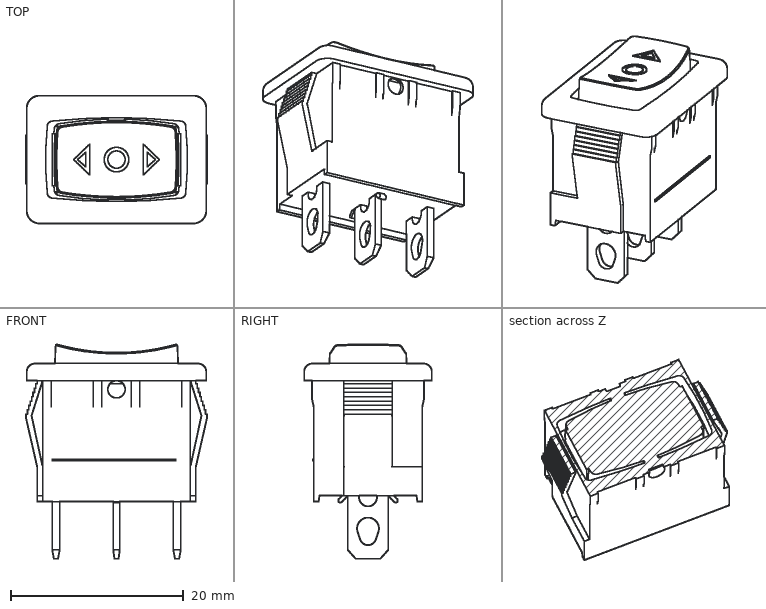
import cadquery as cq
import math


LENGTH_TOLERANCE = 0.001

FLANGE_LENGTH = 20.8
FLANGE_WIDTH = 14.8
FLANGE_HEIGHT = 2.0
FLANGE_CORNER_RADIUS = 1.5
FLANGE_EDGE_RADIUS = 1.0

OPENING_CORNER = (7.95, 4.4)
OPENING_MIDDLE = (8.2, 4.84)
OPENING_CORNER_RADIUS = 0.6
OPENING_FLOOR = -3.0

BODY_LENGTH = 17.06
BODY_WIDTH = 12.6
BODY_BOTTOM = -13.3
FOOT_BOTTOM = -14.0
FOOT_TOP_WIDTH = 0.7
FOOT_BOTTOM_WIDTH = 0.6

RIB_HEIGHT = 0.2
RIB_STRAIGHT_END = -2.05
RIB_END = -3.0
RIB_WIDTH = 1.0
INNER_RIB_X = 2.2
RIB_POSITIONS = (
    -BODY_LENGTH / 2 + RIB_WIDTH / 2,
    -INNER_RIB_X,
    INNER_RIB_X,
    BODY_LENGTH / 2 - RIB_WIDTH / 2,
)

DIVIDER_LENGTH = 14.3
DIVIDER_HEIGHT = 0.2
DIVIDER_CENTRE_X = -0.3
DIVIDER_Z = -9.18
DIVIDER_RELIEF = 0.1

CLIP_WIDTH = 5.6
CLIP_SPAN = 20.94
CLIP_TIP_X = CLIP_SPAN / 2
CLIP_THICKNESS = 0.66
CLIP_ROOT_X = BODY_LENGTH / 2 + CLIP_THICKNESS
CLIP_ELBOW_Z = -4.05
CLIP_ELBOW_INNER_X = CLIP_TIP_X - CLIP_THICKNESS
CLIP_BASE_TOP = -9.95
CLIP_TOOTH_COUNT = 8
CLIP_TOOTH_TOP = -0.35
CLIP_TOOTH_BOTTOM = -4.36

ROCKER_DRAFT = 2.4
ROCKER_BASE_Z = OPENING_FLOOR
ROCKER_REFERENCE_Z = FLANGE_HEIGHT
ROCKER_CORNER = (6.95, 3.85)
ROCKER_MIDDLE = (7.14, 4.48)
ROCKER_CORNER_RADIUS = 0.7
ROCKER_TOP = 4.2
ROCKER_BLANK_TOP = ROCKER_TOP + 1.0
ROCKER_DISH_DEPTH = 0.95
ROCKER_DISHED_LENGTH = 13.8
ROCKER_EDGE_BREAK = 0.15
ROCKER_TAB_REACH = 7.42
ROCKER_TAB_WIDTH = 6.0
ROCKER_TAB_TOP = 0.0

SYMBOL_DEPTH = 0.1
RING_OUTER_RADIUS = 1.42
RING_INNER_RADIUS = 1.0
ARROW_BASE_X = 3.12
ARROW_TIP_X = 4.95
ARROW_HALF_WIDTH = 1.77
ARROW_INNER_BASE_X = 3.55
ARROW_INNER_TIP_X = 4.5
ARROW_INNER_HALF_WIDTH = 0.85

PIVOT_DIAMETER = 2.0
PIVOT_Z = -1.0
PIVOT_RAMP_TOP = -0.35
PIVOT_END_Y = 6.0
PIVOT_RAMP_RUN = 0.8

TERMINAL_SPACING = 7.0
TERMINAL_WIDTH = 4.74
TERMINAL_BOTTOM = -20.6
TERMINAL_TAPER_HEIGHT = 1.05
TERMINAL_TIP_WIDTH = 2.86
TERMINAL_TIP_THICKNESS = 0.5
OUTER_TERMINAL_THICKNESS = 0.9
CENTRE_TERMINAL_THICKNESS = 0.8
ROUND_HOLE_RADIUS = 1.02
ROUND_HOLE_Z = -13.5
EYE_UPPER_RADIUS = 1.25
EYE_UPPER_Z = -17.1
EYE_LOWER_RADIUS = 0.95
EYE_LOWER_Z = -18.05
WING_THICKNESS = 0.5
WING_TIP_Y = 3.2
WING_TIP_Z = -13.85
WING_LENGTH = 1.5
WING_ANGLE = 45.0


def block(x_range, y_range, z_range):
    """Axis-aligned box between the given limits."""
    size = [high - low for low, high in (x_range, y_range, z_range)]
    return cq.Workplane("XY").box(*size, centered=False).translate((x_range[0], y_range[0], z_range[0]))


def mirrored_pair(solid, plane):
    """The solid joined with its mirror image."""
    return solid.union(solid.mirror(plane))


def symmetric_profile(half_points):
    """Closed point list made of one side's points and their mirror image."""
    return half_points + [(-u, z) for u, z in reversed(half_points)]


def upright_edges(solid):
    """Edges whose two ends lie at different heights."""
    return solid.edges().filter(lambda edge: abs(edge.startPoint().z - edge.endPoint().z) > LENGTH_TOLERANCE)


def bowed_prism(corner, middle, z_bottom, z_top, corner_radius, draft=0.0):
    """Prism on a rectangle with bowed sides and rounded corners."""
    cx, cy = corner
    mx, my = middle
    prism = (
        cq.Workplane("XY", origin=(0, 0, z_bottom))
        .moveTo(-cx, -cy)
        .threePointArc((0, -my), (cx, -cy))
        .threePointArc((mx, 0), (cx, cy))
        .threePointArc((0, my), (-cx, cy))
        .threePointArc((-mx, 0), (-cx, -cy))
        .close()
        .extrude(z_top - z_bottom, taper=draft)
    )
    return upright_edges(prism).fillet(corner_radius)


def make_flange():
    flange = cq.Workplane("XY").box(FLANGE_LENGTH, FLANGE_WIDTH, FLANGE_HEIGHT, centered=(True, True, False))
    flange = flange.edges("|Z").fillet(FLANGE_CORNER_RADIUS)
    return flange.faces(">Z").edges().fillet(FLANGE_EDGE_RADIUS)


def end_profile(plane_x, length):
    """Body cross-section in YZ, with a foot along each long edge, extruded along X."""
    half = BODY_WIDTH / 2
    half_points = [
        (half, 0),
        (half, FOOT_BOTTOM),
        (half - FOOT_BOTTOM_WIDTH, FOOT_BOTTOM),
        (half - FOOT_TOP_WIDTH, BODY_BOTTOM),
    ]
    section = cq.Workplane("YZ", origin=(plane_x, 0, 0)).polyline(symmetric_profile(half_points))
    return section.close().extrude(length)


def make_ribs():
    wall = BODY_WIDTH / 2
    profile = [
        (0, 0),
        (wall + RIB_HEIGHT, 0),
        (wall + RIB_HEIGHT, RIB_STRAIGHT_END),
        (wall, RIB_END),
        (0, RIB_END),
    ]
    ribs = cq.Workplane("XY")
    for x in RIB_POSITIONS:
        rib = cq.Workplane("YZ", origin=(x, 0, 0)).polyline(profile).close().extrude(RIB_WIDTH / 2, both=True)
        ribs = ribs.union(mirrored_pair(rib, "XZ"))
    return ribs


def make_divider():
    wall_y = -BODY_WIDTH / 2
    return block(
        (DIVIDER_CENTRE_X - DIVIDER_LENGTH / 2, DIVIDER_CENTRE_X + DIVIDER_LENGTH / 2),
        (wall_y - DIVIDER_RELIEF, wall_y),
        (DIVIDER_Z - DIVIDER_HEIGHT / 2, DIVIDER_Z + DIVIDER_HEIGHT / 2),
    )


def make_clip():
    """Snap clip on the +X end: a bent leaf with a stepped upper face, above a base block."""
    body_x = BODY_LENGTH / 2
    rise = (CLIP_TOOTH_TOP - CLIP_TOOTH_BOTTOM) / CLIP_TOOTH_COUNT
    run = (CLIP_TIP_X - CLIP_ROOT_X) / CLIP_TOOTH_COUNT
    outline = [(body_x, 0), (CLIP_ROOT_X, 0), (CLIP_ROOT_X, CLIP_TOOTH_TOP)]
    for tooth in range(CLIP_TOOTH_COUNT):
        tooth_x = CLIP_ROOT_X + (tooth + 1) * run
        tooth_top = CLIP_TOOTH_TOP - tooth * rise
        outline += [(tooth_x, tooth_top), (tooth_x, tooth_top - rise)]
    outline += [(CLIP_ROOT_X, CLIP_BASE_TOP), (body_x, CLIP_BASE_TOP), (CLIP_ELBOW_INNER_X, CLIP_ELBOW_Z)]
    leaf = cq.Workplane("XZ").polyline(outline).close().extrude(CLIP_WIDTH / 2, both=True)
    base_limits = block(
        (body_x, CLIP_ROOT_X),
        (-CLIP_WIDTH / 2, BODY_WIDTH / 2),
        (FOOT_BOTTOM, CLIP_BASE_TOP),
    )
    base = end_profile(body_x, CLIP_THICKNESS).intersect(base_limits)
    return leaf.union(base)


def dish_cutter(depth):
    """Cylinder along Y that hollows the rocker top, enlarged by `depth` beyond the dished face."""
    half_length = ROCKER_DISHED_LENGTH / 2
    radius = (half_length**2 + ROCKER_DISH_DEPTH**2) / (2 * ROCKER_DISH_DEPTH)
    centre_z = ROCKER_TOP - ROCKER_DISH_DEPTH + radius
    return (
        cq.Workplane("XZ", origin=(0, 0, centre_z))
        .circle(radius + depth)
        .extrude(FLANGE_WIDTH / 2, both=True)
    )


def triangle(base_x, tip_x, half_width):
    points = [(base_x, -half_width), (tip_x, 0), (base_x, half_width)]
    return cq.Workplane("XY").polyline(points).close().extrude(ROCKER_TOP)


def make_symbols():
    """Ring and two arrow outlines, limited to a thin layer under the dished face."""
    ring = cq.Workplane("XY").circle(RING_OUTER_RADIUS).circle(RING_INNER_RADIUS).extrude(ROCKER_TOP)
    arrow = triangle(ARROW_BASE_X, ARROW_TIP_X, ARROW_HALF_WIDTH).cut(
        triangle(ARROW_INNER_BASE_X, ARROW_INNER_TIP_X, ARROW_INNER_HALF_WIDTH)
    )
    return ring.union(mirrored_pair(arrow, "YZ")).intersect(dish_cutter(SYMBOL_DEPTH))


def make_rocker():
    flare = (ROCKER_REFERENCE_Z - ROCKER_BASE_Z) * math.tan(math.radians(ROCKER_DRAFT))
    corner = tuple(size + flare for size in ROCKER_CORNER)
    middle = tuple(size + flare for size in ROCKER_MIDDLE)
    rocker = bowed_prism(corner, middle, ROCKER_BASE_Z, ROCKER_BLANK_TOP, ROCKER_CORNER_RADIUS, ROCKER_DRAFT)
    rocker = rocker.cut(dish_cutter(0))
    rocker = rocker.faces(">Z").edges().chamfer(ROCKER_EDGE_BREAK)
    tabs = block(
        (-ROCKER_TAB_REACH, ROCKER_TAB_REACH),
        (-ROCKER_TAB_WIDTH / 2, ROCKER_TAB_WIDTH / 2),
        (ROCKER_BASE_Z, ROCKER_TAB_TOP),
    )
    return rocker.union(tabs).cut(make_symbols())


def make_pivot():
    """Pivot pin along Y, each end ramped back below a short flat."""
    radius = PIVOT_DIAMETER / 2
    pin = cq.Workplane("XZ", origin=(0, 0, PIVOT_Z)).circle(radius).extrude(PIVOT_END_Y, both=True)
    bottom = PIVOT_Z - radius
    half_side = [
        (PIVOT_END_Y, PIVOT_Z + radius),
        (PIVOT_END_Y, PIVOT_RAMP_TOP),
        (PIVOT_END_Y - PIVOT_RAMP_RUN, bottom),
    ]
    side = symmetric_profile(half_side)
    return pin.intersect(cq.Workplane("YZ").polyline(side).close().extrude(radius, both=True))


def eye_cutter(thickness):
    """Egg-shaped hole: two circles joined by their common tangents."""
    tangent_angle = math.asin((EYE_UPPER_RADIUS - EYE_LOWER_RADIUS) / (EYE_UPPER_Z - EYE_LOWER_Z))
    cosine, sine = math.cos(tangent_angle), math.sin(tangent_angle)
    upper = (EYE_UPPER_RADIUS * cosine, EYE_UPPER_Z - EYE_UPPER_RADIUS * sine)
    lower = (EYE_LOWER_RADIUS * cosine, EYE_LOWER_Z - EYE_LOWER_RADIUS * sine)
    return (
        cq.Workplane("YZ")
        .moveTo(*upper)
        .threePointArc((0, EYE_UPPER_Z + EYE_UPPER_RADIUS), (-upper[0], upper[1]))
        .lineTo(-lower[0], lower[1])
        .threePointArc((0, EYE_LOWER_Z - EYE_LOWER_RADIUS), lower)
        .close()
        .extrude(thickness, both=True)
    )


def make_terminal(thickness):
    """Blade terminal in the YZ plane with a tapered tip, a round hole and an egg-shaped eye."""
    taper_top = TERMINAL_BOTTOM + TERMINAL_TAPER_HEIGHT

    def tapered_plate(plane, width, tip_width, depth):
        half_points = [(width / 2, BODY_BOTTOM), (width / 2, taper_top), (tip_width / 2, TERMINAL_BOTTOM)]
        return cq.Workplane(plane).polyline(symmetric_profile(half_points)).close().extrude(depth, both=True)

    blade = tapered_plate("YZ", TERMINAL_WIDTH, TERMINAL_TIP_WIDTH, thickness)
    blade = blade.intersect(tapered_plate("XZ", thickness, TERMINAL_TIP_THICKNESS, TERMINAL_WIDTH))
    hole = (
        cq.Workplane("YZ", origin=(0, 0, ROUND_HOLE_Z))
        .circle(ROUND_HOLE_RADIUS)
        .extrude(thickness, both=True)
    )
    hole = hole.intersect(
        block((-thickness, thickness), (-TERMINAL_WIDTH, TERMINAL_WIDTH), (TERMINAL_BOTTOM, BODY_BOTTOM))
    )
    return blade.cut(hole).cut(eye_cutter(thickness))


def make_wings():
    """Round-ended wings splayed out from under the body on both sides of the centre terminal."""
    angle = math.radians(WING_ANGLE)
    centre_y = WING_TIP_Y - WING_LENGTH / 2 * math.cos(angle)
    centre_z = WING_TIP_Z + WING_LENGTH / 2 * math.sin(angle)
    wing = (
        cq.Workplane("YZ", origin=(0, centre_y, centre_z))
        .slot2D(WING_LENGTH + WING_THICKNESS, WING_THICKNESS, -WING_ANGLE)
        .extrude(CENTRE_TERMINAL_THICKNESS / 2, both=True)
    )
    return mirrored_pair(wing, "XZ")


def make_housing():
    housing = end_profile(-BODY_LENGTH / 2, BODY_LENGTH).union(make_flange())
    housing = housing.union(make_ribs()).union(make_divider()).union(mirrored_pair(make_clip(), "YZ"))
    opening = bowed_prism(
        OPENING_CORNER, OPENING_MIDDLE, OPENING_FLOOR, FLANGE_HEIGHT, OPENING_CORNER_RADIUS
    )
    pivot_bore = (
        cq.Workplane("XZ", origin=(0, 0, PIVOT_Z))
        .circle(PIVOT_DIAMETER / 2)
        .extrude(FLANGE_WIDTH / 2, both=True)
    )
    return housing.cut(opening).cut(pivot_bore)


result = make_housing().union(make_rocker()).union(make_pivot())
outer_terminal = make_terminal(OUTER_TERMINAL_THICKNESS)
for side in (-1, 1):
    result = result.union(outer_terminal.translate((side * TERMINAL_SPACING, 0, 0)))
result = result.union(make_terminal(CENTRE_TERMINAL_THICKNESS)).union(make_wings())